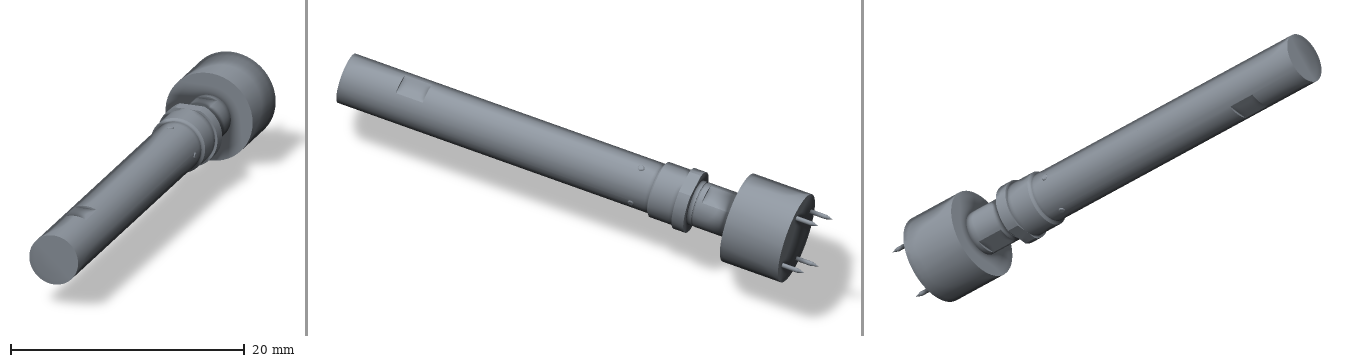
import cadquery as cq

overall_length = 44.0
rear_y = overall_length / 2
front_y = -overall_length / 2

head_diameter = 8.0
neck_diameter = 4.0
groove_diameter = 3.85
collar_diameter = 5.5
sleeve_diameter = 5.0
barrel_diameter = 4.5

pin_length = 2.05
head_length = 5.4
neck_length = 3.95
collar_length = 1.1
sleeve_length = 2.3
sleeve_chamfer_length = 0.2

groove_width = 0.15
groove_to_collar = 0.4

pin_diameter = 0.4
pin_tip_length = 0.6
pin_circle_radius = 3.05
pin_count = 4
pin_embed = 0.45

neck_flat_distance = 3.5
neck_flat_length = 2.5
neck_flat_offset = 0.5
collar_flat_distance = sleeve_diameter
barrel_flat_distance = 4.0
barrel_flat_length = 2.5
barrel_flat_to_front = 5.0

bump_diameter = 0.55
bump_height = 0.1
bump_bevel = 0.065
bump_count = 4
bump_to_sleeve = 1.5

head_rear_y = rear_y - pin_length
head_front_y = head_rear_y - head_length
collar_rear_y = head_front_y - neck_length
collar_front_y = collar_rear_y - collar_length
sleeve_front_y = collar_front_y - sleeve_length
barrel_rear_y = sleeve_front_y - sleeve_chamfer_length


def turned(points):
    """Revolve a closed outline of (radius, y) points about the Y axis."""
    return cq.Workplane("XY").polyline(points).close().revolve(360, (0, 0, 0), (0, 1, 0))


def make_body():
    groove_front_y = collar_rear_y + groove_to_collar
    groove_rear_y = groove_front_y + groove_width
    return turned([
        (0, head_rear_y),
        (head_diameter / 2, head_rear_y),
        (head_diameter / 2, head_front_y),
        (neck_diameter / 2, head_front_y),
        (neck_diameter / 2, groove_rear_y),
        (groove_diameter / 2, groove_rear_y),
        (groove_diameter / 2, groove_front_y),
        (neck_diameter / 2, groove_front_y),
        (neck_diameter / 2, collar_rear_y),
        (collar_diameter / 2, collar_rear_y),
        (collar_diameter / 2, collar_front_y),
        (sleeve_diameter / 2, collar_front_y),
        (sleeve_diameter / 2, sleeve_front_y),
        (barrel_diameter / 2, barrel_rear_y),
        (barrel_diameter / 2, front_y),
        (0, front_y),
    ])


def make_flat_cutters(distance, flat_rear_y, length):
    """Two blocks that leave flats on the +Z and -Z sides, the given distance apart."""
    block_size = head_diameter
    block_z = (distance + block_size) / 2
    block = cq.Workplane("XY").box(block_size, length, block_size)
    block = block.translate((0, flat_rear_y - length / 2, 0))
    return block.translate((0, 0, block_z)).union(block.translate((0, 0, -block_z)))


def make_pin():
    """Round pin with a tapered tip, placed on the +X side of the pin circle."""
    tip_base_y = rear_y - pin_tip_length
    pin = turned([
        (0, head_rear_y - pin_embed),
        (pin_diameter / 2, head_rear_y - pin_embed),
        (pin_diameter / 2, tip_base_y),
        (0, rear_y),
    ])
    return pin.translate((pin_circle_radius, 0, 0))


def make_bump():
    """Flat-topped bump with a bevelled rim, standing out of the barrel on its +X side."""
    return (
        cq.Workplane("YZ")
        .center(barrel_rear_y - bump_to_sleeve, 0)
        .circle(bump_diameter / 2)
        .extrude(barrel_diameter / 2 + bump_height)
        .faces(">X")
        .chamfer(bump_bevel)
    )


def around_axis(shape, count):
    """Evenly spaced copies of a shape about the Y axis."""
    copies = shape
    for index in range(1, count):
        copies = copies.union(shape.rotate((0, 0, 0), (0, 1, 0), index * 360 / count))
    return copies


neck_flat_rear_y = head_front_y - neck_flat_offset
barrel_flat_rear_y = front_y + barrel_flat_to_front + barrel_flat_length

result = (
    make_body()
    .cut(make_flat_cutters(neck_flat_distance, neck_flat_rear_y, neck_flat_length))
    .cut(make_flat_cutters(collar_flat_distance, collar_rear_y, collar_length))
    .cut(make_flat_cutters(barrel_flat_distance, barrel_flat_rear_y, barrel_flat_length))
    .union(around_axis(make_pin(), pin_count))
    .union(around_axis(make_bump(), bump_count))
)